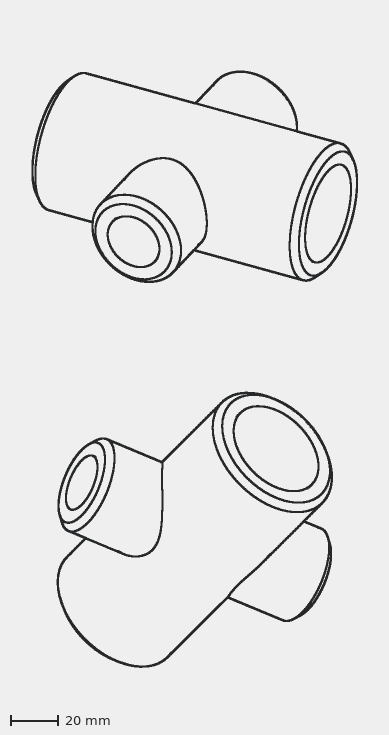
import cadquery as cq

main_length = 127.0
main_diameter = 60.3
main_bore = 42.9
branch_length = 114.3
branch_diameter = 42.3
branch_bore = 24.6
end_chamfer = 2.9


def centred_cylinder(plane, diameter, length):
    """Cylinder centred on the origin, with its axis normal to the plane."""
    return cq.Workplane(plane).circle(diameter / 2).extrude(length / 2, both=True)


def chamfered_bar(plane, diameter, length):
    """Centred cylinder with both end rims bevelled."""
    return centred_cylinder(plane, diameter, length).faces("%PLANE").edges().chamfer(end_chamfer)


main_body = chamfered_bar("YZ", main_diameter, main_length)
branch_body = chamfered_bar("XZ", branch_diameter, branch_length)
body = main_body.union(branch_body)

main_hole = centred_cylinder("YZ", main_bore, main_length)
branch_hole = centred_cylinder("XZ", branch_bore, branch_length)

result = body.cut(main_hole).cut(branch_hole)